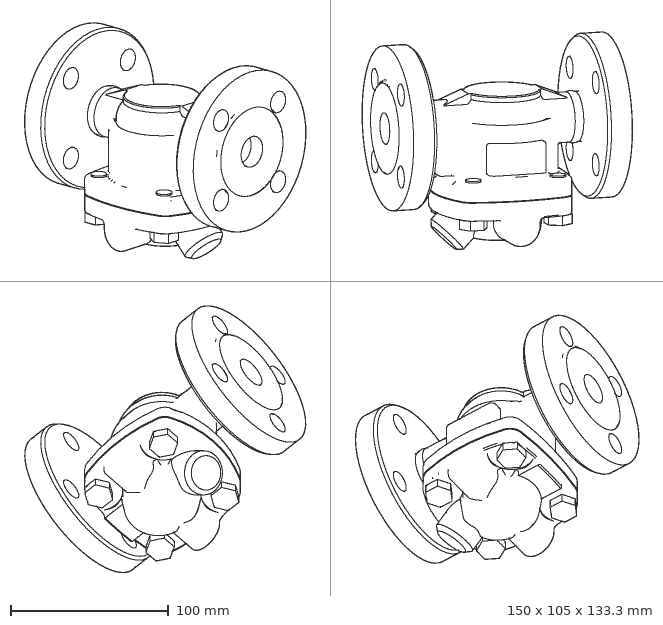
import cadquery as cq
import math

FACE_TO_FACE = 150.0
BODY_X = -3.0

TOLERANCE = 0.001

FLANGE_DIA = 105.0
FLANGE_THICKNESS = 16.0
FLANGE_CHAMFER = 2.0
FLANGE_CHAMFER_RADIAL = 1.6
RAISED_HEIGHT = 2.0
RAISED_DIA = 58.0
FLANGE_HOLE_DIA = 14.0
FLANGE_HOLE_CIRCLE = 75.0
BORE_DIA = 20.0
BORE_DEPTH = 10.0

PIPE_DIA = 32.0
HUB_FILLET = 2.3
BEAD_INNER_X = 46.8
BEAD_OUTER_X = 52.5
BEAD_HEIGHT = 0.6

BODY_TOP = 20.7
TOP_RADIUS = 24.5
TOP_EDGE = 0.8
LIP_BOTTOM = 16.8
DOME_TOP = 15.0
DOME_TOP_RADIUS = 25.6
DOME_BOTTOM = 5.5
DOME_BOTTOM_RADIUS = 29.0
DOME_BULGE = 0.7
CONE_TOP = 3.0
CONE_BOTTOM = -5.2
BODY_RADIUS = 33.0
LOBE_X = BODY_X - 8.7
LOBE_RADIUS = 27.5
LOBE_CONE_TOP_RADIUS = 23.6
CONE_EDGE_FILLET = 2.0
BASE_FILLET = 2.0
LOBE_BASE_FILLET = 1.0
JUNCTION_FILLET = 2.0

RIB_HALF_WIDTH = 8.0
RIB_TOP_REACH = 24.8
RIB_TIP_REACH = 41.0
RIB_TIP_Z = 14.3

OUTLET_RIB_END_X = 40.2
OUTLET_RIB_HALF_WIDTH = 6.0
OUTLET_RIB_CORNER = 2.0
OUTLET_RIB_BLEND = 1.5

PAD_WIDTH = 38.0
PAD_TOP = -8.0
PAD_BOTTOM = -28.0
PAD_CORNER = 3.5
PAD_Y = 35.4
PAD_TOP_EDGE = 2.0

JOINT_TOP = -32.0
GASKET_Z = -44.0
GASKET_THICKNESS = 0.4
GASKET_INSET = 0.4
COVER_BOTTOM = -56.0
JOINT_HALF_Y = 41.3
JOINT_LEFT_X = -42.0
JOINT_RIGHT_X = 42.1
END_ARC_RADIUS = 122.0
LEFT_ARC_RADIUS = 210.0
RIGHT_ARC_RADIUS = 73.0
JOINT_CORNER = 10.0
JOINT_TOP_FILLET = 2.0
COVER_EDGE_FILLET = 1.0

COVER_OVERLAP = 2.0
CUP_BOTTOM = -73.5
LUG_ENVELOPE_BOTTOM = CUP_BOTTOM - 1.0
CUP_RADIUS = 21.2
CUP_STRETCH = 3.0
CUP_DRAFT = 8.0
CUP_EDGE = 5.0
LUG_HALF_WIDTH = 12.5
LUG_ROOT_FILLET = 2.5
INLET_LUG_BOTTOM = -60.5

BOLT_CIRCLE = 80.0
BOLT_DIA = 10.0
BOLT_TOP = -31.0
HEX_FLATS = 16.0
HEX_CORNERS = HEX_FLATS / math.cos(math.radians(30))
HEX_HEIGHT = 6.3
SPOTFACE_RADIUS = 15.3

PLUG_DIA = 28.0
PLUG_CHAMFER = 3.1
PLUG_END_X = 35.6
OVERALL_HEIGHT = 133.27
PLUG_LOWEST_Z = FLANGE_DIA / 2 - OVERALL_HEIGHT
PLUG_LENGTH = 34.0

HALF_LENGTH = FACE_TO_FACE / 2
FLANGE_OUTER_X = HALF_LENGTH - RAISED_HEIGHT
FLANGE_INNER_X = FLANGE_OUTER_X - FLANGE_THICKNESS
PIPE_RADIUS = PIPE_DIA / 2

DIAGONAL = math.sqrt(0.5)
BOLT_OFFSET = BOLT_CIRCLE / 2 * DIAGONAL


def upright_cylinder(x, y, bottom, top, radius):
    return cq.Workplane("XY", origin=(x, y, bottom)).circle(radius).extrude(top - bottom)


def pipe_end():
    """Half pipe with weld bead, hub fillet and flange on the +X side."""
    flange_radius = FLANGE_DIA / 2
    raised_radius = RAISED_DIA / 2
    root_arc = HUB_FILLET * (1 - DIAGONAL)
    raised_arc = RAISED_HEIGHT * (1 - DIAGONAL)
    profile = (
        cq.Workplane("XZ")
        .moveTo(0, 0)
        .lineTo(0, PIPE_RADIUS)
        .lineTo(BEAD_INNER_X, PIPE_RADIUS)
        .threePointArc(
            ((BEAD_INNER_X + BEAD_OUTER_X) / 2, PIPE_RADIUS + BEAD_HEIGHT),
            (BEAD_OUTER_X, PIPE_RADIUS),
        )
        .lineTo(FLANGE_INNER_X - HUB_FILLET, PIPE_RADIUS)
        .threePointArc(
            (FLANGE_INNER_X - root_arc, PIPE_RADIUS + root_arc),
            (FLANGE_INNER_X, PIPE_RADIUS + HUB_FILLET),
        )
        .lineTo(FLANGE_INNER_X, flange_radius - FLANGE_CHAMFER_RADIAL)
        .lineTo(FLANGE_INNER_X + FLANGE_CHAMFER, flange_radius)
        .lineTo(FLANGE_OUTER_X, flange_radius)
        .lineTo(FLANGE_OUTER_X, raised_radius + RAISED_HEIGHT)
        .threePointArc(
            (FLANGE_OUTER_X + raised_arc, raised_radius + raised_arc),
            (HALF_LENGTH, raised_radius),
        )
        .lineTo(HALF_LENGTH, 0)
        .close()
    )
    return profile.revolve(360, (0, 0, 0), (1, 0, 0))


def flange_holes():
    """Bolt holes through both flanges and the blind bores in their faces."""
    spacing = FLANGE_HOLE_CIRCLE * DIAGONAL
    bolt_holes = (
        cq.Workplane("YZ", origin=(FLANGE_INNER_X, 0, 0))
        .rect(spacing, spacing, forConstruction=True)
        .vertices()
        .circle(FLANGE_HOLE_DIA / 2)
        .extrude(FLANGE_THICKNESS)
    )
    bore = (
        cq.Workplane("YZ", origin=(HALF_LENGTH - BORE_DEPTH, 0, 0))
        .circle(BORE_DIA / 2)
        .extrude(BORE_DEPTH)
    )
    holes = bolt_holes.union(bore)
    return holes.union(holes.mirror("YZ"))


def base_flare(profile, radius, fillet):
    """Continue an outline from the cone edge down the barrel and out to the flange."""
    rise = fillet * (1 - DIAGONAL)
    return (
        profile.lineTo(radius, JOINT_TOP + fillet)
        .threePointArc(
            (radius + rise, JOINT_TOP + rise),
            (radius + fillet, JOINT_TOP),
        )
        .lineTo(0, JOINT_TOP)
        .close()
    )


def soften_cone_edge(barrel):
    """Round the edge between the cone and the barrel."""
    def at_cone_edge(edge):
        return edge.geomType() == "CIRCLE" and abs(edge.Center().z - CONE_BOTTOM) < TOLERANCE

    return barrel.edges().filter(at_cone_edge).fillet(CONE_EDGE_FILLET)


def revolved_body():
    """Neck, dome, cone and barrel around the body axis."""
    dome_middle = (
        (DOME_TOP_RADIUS + DOME_BOTTOM_RADIUS) / 2 + DOME_BULGE,
        (DOME_TOP + DOME_BOTTOM) / 2 + DOME_BULGE,
    )
    profile = (
        cq.Workplane("YZ", origin=(BODY_X, 0, 0))
        .moveTo(0, BODY_TOP)
        .lineTo(TOP_RADIUS - TOP_EDGE, BODY_TOP)
        .lineTo(TOP_RADIUS, BODY_TOP - TOP_EDGE)
        .lineTo(TOP_RADIUS, LIP_BOTTOM)
        .lineTo(DOME_TOP_RADIUS, DOME_TOP)
        .threePointArc(dome_middle, (DOME_BOTTOM_RADIUS, DOME_BOTTOM))
        .lineTo(DOME_BOTTOM_RADIUS, CONE_TOP)
        .lineTo(BODY_RADIUS, CONE_BOTTOM)
    )
    barrel = base_flare(profile, BODY_RADIUS, BASE_FILLET).revolve(360, (0, 0, 0), (0, 1, 0))
    return soften_cone_edge(barrel)


def inlet_lobe():
    """Smaller cone and barrel that bulge out of the body on the inlet side."""
    profile = (
        cq.Workplane("XZ", origin=(LOBE_X, 0, 0))
        .moveTo(0, CONE_TOP)
        .lineTo(LOBE_CONE_TOP_RADIUS, CONE_TOP)
        .lineTo(LOBE_RADIUS, CONE_BOTTOM)
    )
    barrel = base_flare(profile, LOBE_RADIUS, LOBE_BASE_FILLET).revolve(360, (0, 0, 0), (0, 1, 0))
    return soften_cone_edge(barrel)


def top_ribs():
    """Roof-shaped bar sloping from the body top down to the pipe on both sides."""
    return (
        cq.Workplane("XZ", origin=(BODY_X, RIB_HALF_WIDTH, 0))
        .moveTo(-RIB_TIP_REACH, 0)
        .lineTo(-RIB_TIP_REACH, RIB_TIP_Z)
        .lineTo(-RIB_TOP_REACH, BODY_TOP)
        .lineTo(RIB_TOP_REACH, BODY_TOP)
        .lineTo(RIB_TIP_REACH, RIB_TIP_Z)
        .lineTo(RIB_TIP_REACH, 0)
        .close()
        .extrude(2 * RIB_HALF_WIDTH)
    )


def add_outlet_rib(outlet_half):
    """Rib under the outlet pipe, blended into the pipe."""
    length = OUTLET_RIB_END_X - BODY_X
    rib = (
        cq.Workplane("XY", origin=(BODY_X + length / 2, 0, JOINT_TOP))
        .rect(length, 2 * OUTLET_RIB_HALF_WIDTH)
        .extrude(-JOINT_TOP)
        .edges("|Z and >X")
        .fillet(OUTLET_RIB_CORNER)
    )

    def meets_pipe(edge):
        point = edge.positionAt(0.5)
        on_pipe = abs(math.hypot(point.y, point.z) - PIPE_RADIUS) < TOLERANCE
        in_rib = abs(point.y) < OUTLET_RIB_HALF_WIDTH + TOLERANCE and point.z < 0
        beyond_barrel = BODY_X + BODY_RADIUS < point.x < OUTLET_RIB_END_X + TOLERANCE
        return on_pipe and in_rib and beyond_barrel

    return outlet_half.union(rib).edges().filter(meets_pipe).fillet(OUTLET_RIB_BLEND)


def back_pad():
    return (
        cq.Workplane("XZ", origin=(BODY_X, PAD_Y, (PAD_TOP + PAD_BOTTOM) / 2))
        .rect(PAD_WIDTH, PAD_TOP - PAD_BOTTOM)
        .extrude(PAD_Y)
        .edges("|Z and >Y")
        .fillet(PAD_CORNER)
        .faces(">Z")
        .edges("not <Y")
        .fillet(PAD_TOP_EDGE)
    )


def joint_outline(bottom, top, inset=0.0):
    """Four-sided plate with bowed edges and rounded corners."""
    sides = (
        (BODY_X, END_ARC_RADIUS - JOINT_HALF_Y, END_ARC_RADIUS),
        (BODY_X, JOINT_HALF_Y - END_ARC_RADIUS, END_ARC_RADIUS),
        (JOINT_LEFT_X + LEFT_ARC_RADIUS, 0, LEFT_ARC_RADIUS),
        (JOINT_RIGHT_X - RIGHT_ARC_RADIUS, 0, RIGHT_ARC_RADIUS),
    )
    plate = None
    for x, y, radius in sides:
        disc = upright_cylinder(x, y, bottom, top, radius - inset)
        plate = disc if plate is None else plate.intersect(disc)
    return plate.edges("|Z").fillet(JOINT_CORNER - inset)


def body_flange():
    plate = joint_outline(GASKET_Z + GASKET_THICKNESS / 2, JOINT_TOP)
    return plate.faces(">Z").edges().fillet(JOINT_TOP_FILLET)


def gasket():
    half = GASKET_THICKNESS / 2
    return joint_outline(GASKET_Z - half, GASKET_Z + half, GASKET_INSET)


def cup():
    """Drafted, rounded bowl under the cover."""
    return (
        cq.Workplane("XY", origin=(BODY_X, 0, CUP_BOTTOM))
        .slot2D(2 * (CUP_RADIUS + CUP_STRETCH), 2 * CUP_RADIUS)
        .extrude(GASKET_Z - COVER_OVERLAP - CUP_BOTTOM, taper=-CUP_DRAFT)
        .faces("<Z")
        .edges()
        .fillet(CUP_EDGE)
    )


def flared_lug(plane, tip):
    """Outline of a bar under the cover, widened by fillets at its root.

    The function tip draws the lower end between the two side walls.
    """
    flare = LUG_HALF_WIDTH + LUG_ROOT_FILLET
    flare_arc = LUG_ROOT_FILLET * (1 - DIAGONAL)
    root_z = COVER_BOTTOM - LUG_ROOT_FILLET
    outline = (
        cq.Workplane(plane, origin=(BODY_X, 0, 0))
        .moveTo(-flare, GASKET_Z - COVER_OVERLAP)
        .lineTo(-flare, COVER_BOTTOM)
        .threePointArc(
            (-LUG_HALF_WIDTH - flare_arc, COVER_BOTTOM - flare_arc),
            (-LUG_HALF_WIDTH, root_z),
        )
    )
    return (
        tip(outline)
        .lineTo(LUG_HALF_WIDTH, root_z)
        .threePointArc(
            (LUG_HALF_WIDTH + flare_arc, COVER_BOTTOM - flare_arc),
            (flare, COVER_BOTTOM),
        )
        .lineTo(flare, GASKET_Z - COVER_OVERLAP)
        .close()
    )


def round_tip(outline):
    arc_z = CUP_BOTTOM + LUG_HALF_WIDTH
    return outline.lineTo(-LUG_HALF_WIDTH, arc_z).threePointArc(
        (0, CUP_BOTTOM), (LUG_HALF_WIDTH, arc_z)
    )


def flat_tip(outline):
    return outline.lineTo(-LUG_HALF_WIDTH, INLET_LUG_BOTTOM).lineTo(LUG_HALF_WIDTH, INLET_LUG_BOTTOM)


def cross_lug():
    """U-section bar under the cover, across its full depth along Y."""
    return flared_lug("XZ", round_tip).extrude(HALF_LENGTH, both=True)


def inlet_lug():
    """Shallow bar under the cover, running from the cup to the inlet edge."""
    return flared_lug("YZ", flat_tip).extrude(-HALF_LENGTH)


def rim_edges(solid):
    """Lower edges of the cover that lie on its upright outer surface."""
    rim = joint_outline(LUG_ENVELOPE_BOTTOM, GASKET_Z).faces("%CYLINDER").vals()
    rim_shell = cq.Compound.makeCompound(rim)

    def on_rim(edge):
        middle = cq.Vertex.makeVertex(*edge.positionAt(0.5).toTuple())
        low = edge.Center().z < (GASKET_Z + COVER_BOTTOM) / 2 - COVER_OVERLAP
        return low and middle.distance(rim_shell) < TOLERANCE

    return solid.edges().filter(on_rim)


def cover():
    top = GASKET_Z - GASKET_THICKNESS / 2
    envelope = joint_outline(LUG_ENVELOPE_BOTTOM, top)
    plate = joint_outline(COVER_BOTTOM, top)
    lugs = cross_lug().union(inlet_lug()).intersect(envelope)
    plate_with_lugs = rim_edges(plate.union(lugs)).fillet(COVER_EDGE_FILLET)
    return plate_with_lugs.union(cup())


def plug_boss():
    """Chamfered round boss leaving the cup at 45 degrees on the outlet side."""
    end_z = PLUG_LOWEST_Z + (PLUG_DIA / 2 - PLUG_CHAMFER) * DIAGONAL
    plane = cq.Plane(origin=(PLUG_END_X, 0, end_z), xDir=(0, 1, 0), normal=(1, 0, -1))
    return (
        cq.Workplane(plane)
        .circle(PLUG_DIA / 2)
        .extrude(-PLUG_LENGTH)
        .faces(">(1, 0, -1)")
        .chamfer(PLUG_CHAMFER)
    )


def bolt_places():
    """Bolt centres with the angle that points one hexagon corner."""
    places = []
    for side_x in (-1, 1):
        for side_y in (-1, 1):
            corner_angle = 0 if side_x == side_y else 90
            places.append((BODY_X + side_x * BOLT_OFFSET, side_y * BOLT_OFFSET, corner_angle))
    return places


def bolt(x, y, corner_angle):
    head_bottom = COVER_BOTTOM - HEX_HEIGHT
    head = (
        cq.Workplane("XY", origin=(x, y, head_bottom))
        .polygon(6, HEX_CORNERS)
        .extrude(HEX_HEIGHT)
        .rotate((x, y, 0), (x, y, 1), corner_angle)
    )
    return head.union(upright_cylinder(x, y, COVER_BOTTOM, BOLT_TOP, BOLT_DIA / 2))


def upper_half(barrel, pipe, side):
    """Barrel half on one side (+1 outlet, -1 inlet) with its pipe blended in."""
    half_space = (
        cq.Workplane("XY")
        .box(FACE_TO_FACE, FACE_TO_FACE, FACE_TO_FACE)
        .translate((BODY_X + side * HALF_LENGTH, 0, 0))
    )

    def on_pipe(point):
        near_body = side * (point.x - BODY_X) < LOBE_RADIUS + BODY_X - LOBE_X + TOLERANCE
        return near_body and abs(math.hypot(point.y, point.z) - PIPE_RADIUS) < TOLERANCE

    def is_junction(edge):
        samples = [edge.positionAt(step) for step in (0.2, 0.5, 0.8)]
        return edge.geomType() != "LINE" and all(on_pipe(point) for point in samples)

    half = barrel.union(top_ribs()).intersect(half_space).union(pipe)
    return half.edges().filter(is_junction).fillet(JUNCTION_FILLET)


def upper_part():
    outlet_pipe = pipe_end()
    inlet_pipe = outlet_pipe.mirror("YZ")
    barrel = revolved_body()
    outlet_half = upper_half(barrel, outlet_pipe, 1)
    inlet_half = upper_half(barrel.union(inlet_lobe()), inlet_pipe, -1)
    return add_outlet_rib(outlet_half).union(inlet_half).union(back_pad())


def lower_part():
    lower = cover()
    for x, y, _ in bolt_places():
        lower = lower.cut(upright_cylinder(x, y, CUP_BOTTOM, COVER_BOTTOM, SPOTFACE_RADIUS))
    return lower.union(plug_boss())


def build():
    part = upper_part().union(body_flange()).union(gasket()).union(lower_part())
    for x, y, corner_angle in bolt_places():
        part = part.union(bolt(x, y, corner_angle))
    return part.cut(flange_holes())


result = build()